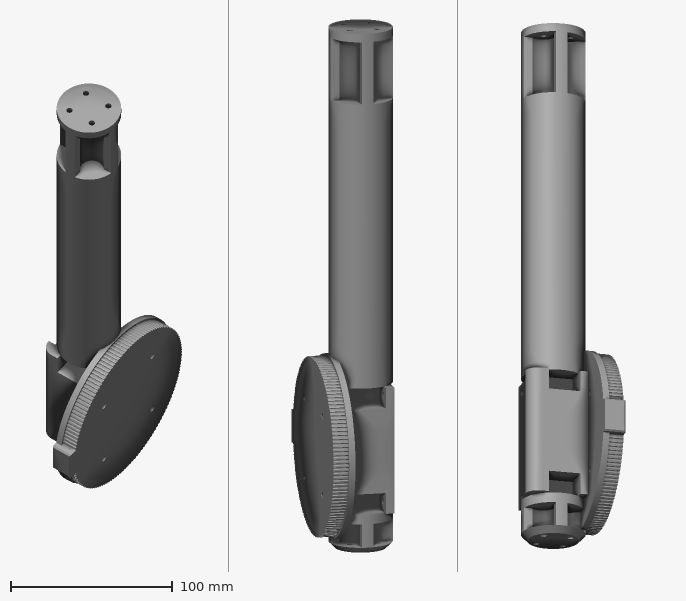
import cadquery as cq
import math

height = 330.0
tube_diameter = 40.0
tube_radius = tube_diameter / 2
foot_chamfer = 4.0

rib_width = 7.3
window_bore_diameter = 15.2
lower_window_bottom = 4.0
lower_window_top = 18.8
upper_window_bottom = 285.0
upper_window_top = 324.7

hole_diameter = 4.0
flange_hole_offset = 8.5

pulley_z = 65.0
flange_x = 16.5
rim_x = 20.5
pulley_end_x = 30.0
flange_radius = 57.5
rim_radius = 56.0
tooth_count = 140
tooth_depth = 0.5
tooth_tip_share = 0.45
pulley_hole_offset = 25.0

tab_width = 21.0
tab_tip_y = -60.0
tab_root_y = -49.5
tab_chamfer = 1.0

bracket_height = 80.0
bracket_bottom = pulley_z - bracket_height / 2
bracket_half_width = 21.0
bracket_face_x = -16.5
lip_x = -21.5
lip_thickness = 8.2
bracket_hole_y = 3.0
bracket_hole_span_y = 19.8
bracket_hole_span_z = 67.5

pocket_height = 13.2
front_pocket_x = -8.5
front_pocket_length = 20.0
rear_pocket_x = -11.2
pocket_depth = 17.8


def block(x_range, y_range, z_range):
    """Axis-aligned box given by its limits along X, Y and Z."""
    lows, highs = zip(x_range, y_range, z_range)
    size = [high - low for low, high in zip(lows, highs)]
    return cq.Workplane("XY").box(*size, centered=False).translate(lows)


def corner_windows(bottom, top):
    """Four window cutters: a square opening between the ribs and a bore around each flange hole."""
    side = (rib_width / 2, tube_radius)
    opening = block(side, side, (bottom, top))
    bore = (
        cq.Workplane("XY", origin=(flange_hole_offset, flange_hole_offset, bottom))
        .circle(window_bore_diameter / 2)
        .extrude(top - bottom)
    )
    window = opening.union(bore)
    cutters = window
    for turn in range(1, 4):
        cutters = cutters.union(window.rotate((0, 0, 0), (0, 0, 1), turn * 90))
    return cutters


def make_column():
    column = cq.Workplane("XY").circle(tube_radius).extrude(height)
    column = column.faces("<Z").chamfer(foot_chamfer)
    column = column.cut(corner_windows(lower_window_bottom, lower_window_top))
    column = column.cut(corner_windows(upper_window_bottom, upper_window_top))
    for base, depth in ((0, lower_window_bottom), (upper_window_top, height - upper_window_top)):
        holes = (
            cq.Workplane("XY", origin=(0, 0, base))
            .rect(2 * flange_hole_offset, 2 * flange_hole_offset, forConstruction=True)
            .vertices()
            .circle(hole_diameter / 2)
            .extrude(depth)
        )
        column = column.cut(holes)
    return column


def make_rim():
    """Toothed rim: round-bottomed grooves spaced evenly around a disc."""
    pitch = 2 * math.pi / tooth_count
    half_tip = tooth_tip_share * pitch / 2

    def rim_point(angle, radius):
        return (radius * math.cos(angle), radius * math.sin(angle))

    outline = cq.Workplane("YZ", origin=(rim_x, 0, pulley_z)).moveTo(*rim_point(-half_tip, rim_radius))
    for index in range(tooth_count):
        middle = index * pitch
        groove_middle = rim_point(middle + pitch / 2, rim_radius - tooth_depth)
        groove_end = rim_point(middle + pitch - half_tip, rim_radius)
        outline = outline.lineTo(*rim_point(middle + half_tip, rim_radius))
        outline = outline.threePointArc(groove_middle, groove_end)
    return outline.close().extrude(pulley_end_x - rim_x)


def make_pulley():
    flange_plane = cq.Workplane("YZ", origin=(flange_x, 0, pulley_z))
    pulley = flange_plane.circle(flange_radius).extrude(rim_x - flange_x)
    pulley = pulley.union(make_rim())

    tab = block(
        (flange_x, pulley_end_x),
        (tab_tip_y, tab_root_y),
        (pulley_z - tab_width / 2, pulley_z + tab_width / 2),
    )
    tab = tab.edges("<Y and (|X or >X)").chamfer(tab_chamfer)
    pulley = pulley.union(tab)

    holes = (
        flange_plane.rect(2 * pulley_hole_offset, 2 * pulley_hole_offset, forConstruction=True)
        .vertices()
        .circle(hole_diameter / 2)
        .extrude(pulley_end_x - flange_x)
    )
    return pulley.cut(holes)


def make_bracket():
    """Block with a rounded lip running along its -X, -Y corner."""
    lip_inner_y = lip_thickness - bracket_half_width
    lip_inner_x = lip_x + lip_thickness
    return (
        cq.Workplane("XY", origin=(0, 0, bracket_bottom))
        .moveTo(flange_x, -bracket_half_width)
        .lineTo(flange_x, bracket_half_width)
        .lineTo(bracket_face_x, bracket_half_width)
        .lineTo(bracket_face_x, lip_inner_y)
        .lineTo(lip_x, lip_inner_y)
        .radiusArc((lip_inner_x, -bracket_half_width), -lip_thickness)
        .close()
        .extrude(bracket_height)
    )


def bracket_pockets():
    """Pockets open to -Y and +Y at both ends of the bracket, with a web between."""
    bracket_top = bracket_bottom + bracket_height
    front_x_range = (front_pocket_x, front_pocket_x + front_pocket_length)
    front_y_range = (-bracket_half_width, pocket_depth - bracket_half_width)
    rear_x_range = (rear_pocket_x, flange_x)
    rear_y_range = (bracket_half_width - pocket_depth, bracket_half_width)
    pockets = cq.Workplane("XY")
    for bottom in (bracket_bottom, bracket_top - pocket_height):
        z_range = (bottom, bottom + pocket_height)
        pockets = pockets.add(block(front_x_range, front_y_range, z_range))
        pockets = pockets.add(block(rear_x_range, rear_y_range, z_range))
    return pockets.combine()


def bracket_holes():
    """Screw holes in the -X face, reaching the depth of the front pockets."""
    return (
        cq.Workplane("YZ", origin=(bracket_face_x, bracket_hole_y, pulley_z))
        .rect(bracket_hole_span_y, bracket_hole_span_z, forConstruction=True)
        .vertices()
        .circle(hole_diameter / 2)
        .extrude(front_pocket_x - bracket_face_x)
    )


def column_gap():
    """Height range taken out of the column, where the bracket block replaces it."""
    size = 2 * tube_diameter
    return (
        cq.Workplane("XY", origin=(0, 0, bracket_bottom))
        .rect(size, size)
        .extrude(bracket_height)
    )


column = make_column().cut(column_gap())
bracket = make_bracket().cut(bracket_pockets()).cut(bracket_holes())
result = column.union(bracket).union(make_pulley())